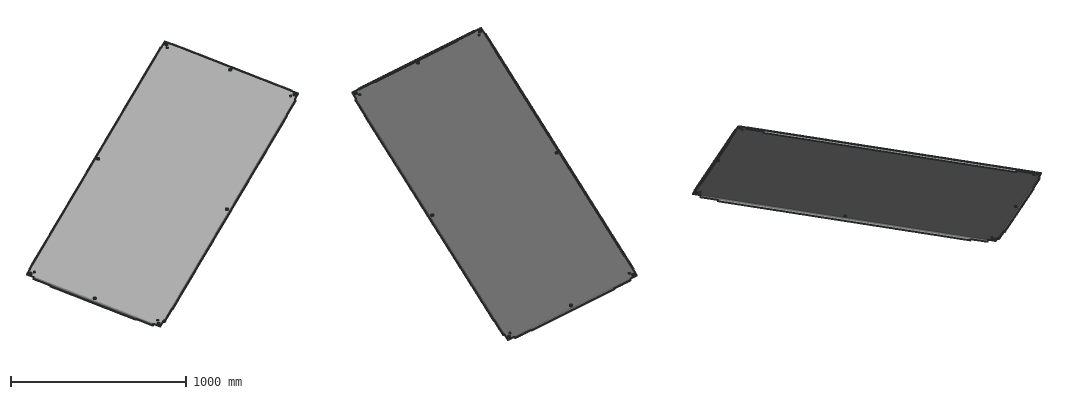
import cadquery as cq

width = 855.0
length = 1827.0
depth = 22.0

sheet = 3.0
bend_outer_radius = 5.3
bend_inner_radius = bend_outer_radius - sheet

face_width = width - 2 * bend_outer_radius
face_length = length - 2 * bend_outer_radius

shallow_depth = 13.7
end_flange_length = 756.0
end_tongue_length = 540.0
side_flange_length = 1725.0
side_tongue_length = 1513.0

corner_hole_diameter = 13.0
corner_hole_x = 405.0
corner_hole_y = 894.0
pilot_hole_diameter = 7.1
pilot_hole_x = 391.0
pilot_hole_y = 875.0
middle_hole_diameter = corner_hole_diameter
middle_hole_x = 407.0
middle_hole_y = 892.0


def folded_edge(flange_length, tongue_length, reach):
    """Bend and flange on the +X edge, with its outer face at X = reach, centred on Y = 0."""
    bend_start = reach - bend_outer_radius
    section = (
        cq.Workplane("XZ", origin=(0, flange_length / 2, 0))
        .moveTo(bend_start, 0)
        .radiusArc((reach, -bend_outer_radius), bend_outer_radius)
        .lineTo(reach, -depth)
        .lineTo(reach - sheet, -depth)
        .lineTo(reach - sheet, -bend_outer_radius)
        .radiusArc((bend_start, -sheet), -bend_inner_radius)
        .close()
    )
    flange = section.extrude(flange_length)
    step_length = (flange_length - tongue_length) / 2
    step_height = depth - shallow_depth
    steps = (
        cq.Workplane("XY", origin=(reach, 0, -depth))
        .pushPoints([(0, side * (tongue_length + step_length) / 2) for side in (-1, 1)])
        .box(2 * bend_outer_radius, step_length, step_height, centered=(True, True, False))
    )
    return flange.cut(steps)


def holes(points, diameter):
    """Round cutters through the face."""
    return cq.Workplane("XY").pushPoints(points).circle(diameter / 2).extrude(-sheet)


def four_corners(x, y):
    return [(x, y), (-x, y), (x, -y), (-x, -y)]


result = cq.Workplane("XY").rect(face_width, face_length).extrude(-sheet)

side_fold = folded_edge(side_flange_length, side_tongue_length, width / 2)
end_fold = folded_edge(end_flange_length, end_tongue_length, length / 2)
for fold, angle in ((side_fold, 0), (end_fold, 90), (side_fold, 180), (end_fold, 270)):
    result = result.union(fold.rotate((0, 0, 0), (0, 0, 1), angle))

middle_points = [(middle_hole_x, 0), (-middle_hole_x, 0), (0, middle_hole_y), (0, -middle_hole_y)]
result = result.cut(holes(four_corners(corner_hole_x, corner_hole_y), corner_hole_diameter))
result = result.cut(holes(four_corners(pilot_hole_x, pilot_hole_y), pilot_hole_diameter))
result = result.cut(holes(middle_points, middle_hole_diameter))